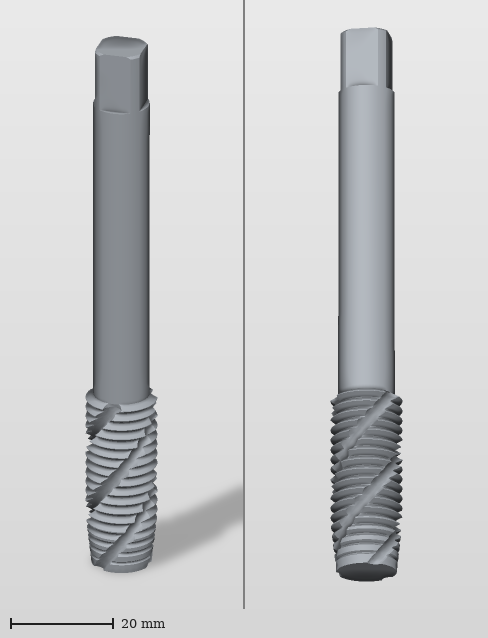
import cadquery as cq

total_length = 110.0
thread_length = 35.9
shank_radius = 11.0 / 2

square_width = 9.0
square_length = 12.0
square_chamfer = 0.4

crest_radius = 14.0 / 2
root_radius = 11.4 / 2
tooth_count = 18
thread_pitch = thread_length / tooth_count
crest_flat = 0.1
root_flat = 0.2
flank_height = (thread_pitch - crest_flat - root_flat) / 2

cutter_length = thread_length - flank_height

tip_radius = 11.8 / 2
lead_length = 9.9

flute_count = 3
flute_radius = 1.9
flute_center_radius = 6.9
flute_lead = 46.0
first_flute_angle = -90.0
flute_angles = [first_flute_angle + index * 360 / flute_count for index in range(flute_count)]


def revolve_about_z(half_profile):
    """Turn a closed XZ half profile about the Z axis."""
    return half_profile.revolve(360, (0, 0, 0), (0, 1, 0))


def make_shank_blank():
    """Collar cone below a round shank with a chamfered top edge."""
    return revolve_about_z(
        cq.Workplane("XZ")
        .moveTo(0, cutter_length)
        .lineTo(crest_radius, cutter_length)
        .lineTo(shank_radius, thread_length)
        .lineTo(shank_radius, total_length - square_chamfer)
        .lineTo(shank_radius - square_chamfer, total_length)
        .lineTo(0, total_length)
        .close()
    )


def make_square_waste():
    """Material around the square drive."""
    return (
        cq.Workplane("XY")
        .workplane(offset=total_length - square_length)
        .circle(2 * shank_radius)
        .rect(square_width, square_width)
        .extrude(square_length)
    )


def make_collar_flute(angle):
    """Straight round groove that carries a flute through the collar."""
    return (
        cq.Workplane("XY")
        .workplane(offset=cutter_length)
        .center(flute_center_radius, 0)
        .circle(flute_radius)
        .extrude(flank_height)
        .rotate((0, 0, 0), (0, 0, 1), angle)
    )


def make_shank():
    """Shank with its square drive and its notched collar."""
    shank = make_shank_blank().cut(make_square_waste())
    for angle in flute_angles:
        shank = shank.cut(make_collar_flute(angle))
    return shank


def make_thread_blank():
    """Ringed blank, with the grooves counted down from the crest under the collar."""
    profile = cq.Workplane("XZ").moveTo(0, cutter_length).lineTo(crest_radius, cutter_length)
    for index in range(tooth_count - 1):
        crest_bottom = cutter_length - index * thread_pitch - crest_flat
        root_top = crest_bottom - flank_height
        root_bottom = root_top - root_flat
        next_crest = root_bottom - flank_height
        profile = (
            profile.lineTo(crest_radius, crest_bottom)
            .lineTo(root_radius, root_top)
            .lineTo(root_radius, root_bottom)
            .lineTo(crest_radius, next_crest)
        )
    return revolve_about_z(profile.lineTo(crest_radius, 0).lineTo(0, 0).close())


def make_lead_envelope():
    """Outer limit of the cutter: a cone over the lead, then a cylinder."""
    return revolve_about_z(
        cq.Workplane("XZ")
        .lineTo(tip_radius, 0)
        .lineTo(crest_radius, lead_length)
        .lineTo(crest_radius, cutter_length)
        .lineTo(0, cutter_length)
        .close()
    )


def make_helical_flute(angle_at_top):
    """Round groove that turns counterclockwise as it rises along the cutter."""
    twist = 360 * cutter_length / flute_lead
    return (
        cq.Workplane("XY")
        .moveTo(flute_center_radius, 0)
        .circle(flute_radius)
        .twistExtrude(cutter_length, twist)
        .rotate((0, 0, 0), (0, 0, 1), angle_at_top - twist)
    )


def make_cutter():
    """Threaded and fluted cutting end."""
    cutter = make_thread_blank().intersect(make_lead_envelope())
    for angle in flute_angles:
        cutter = cutter.cut(make_helical_flute(angle))
    return cutter


shank = make_shank()
cutter = make_cutter()

result = cq.Compound.makeCompound([*shank.solids().vals(), *cutter.solids().vals()])